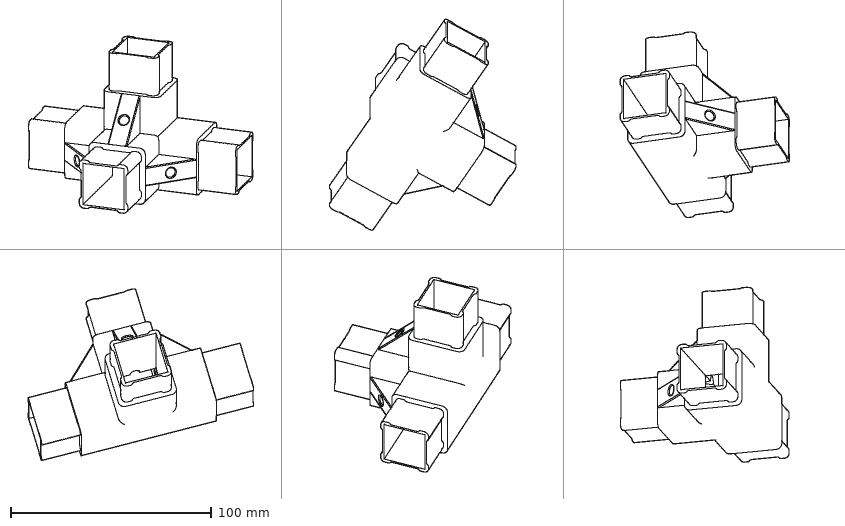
import cadquery as cq
import math

arm_width = 30.0
arm_length = 20.0
arm_corner_radius = 3.0
stub_length = 20.0
stub_width = 25.8
stub_corner_radius = 2.5
bore_width = 22.0
groove_depth = 1.0
groove_floor_width = 13.5
groove_flank_run = 2.0
gusset_width = 10.0
gusset_chamfer = 0.5
hole_diameter = 5.0
hole_chamfer = 0.5

half_arm = arm_width / 2
half_stub = stub_width / 2
half_bore = bore_width / 2
arm_end = half_arm + arm_length
stub_end = arm_end + stub_length

X, Y, Z = cq.Vector(1, 0, 0), cq.Vector(0, 1, 0), cq.Vector(0, 0, 1)
arm_directions = [X, -X, -Y, Z]
gusset_pairs = [(X, -Y), (-X, -Y), (Z, -Y)]


def arm_plane(direction):
    """Plane through the centre of the part, facing along an arm."""
    sideways = Y if abs(direction.x) > 0 else X
    return cq.Plane(origin=(0, 0, 0), xDir=sideways, normal=direction)


def square_prism(direction, width, length):
    """Square bar from the centre of the part out along an arm."""
    return cq.Workplane(arm_plane(direction)).rect(width, width).extrude(length)


def rounded_prism(direction, width, length, corner_radius):
    """Square bar with its four long edges rounded."""
    long_edges = cq.selectors.ParallelDirSelector(direction)
    return square_prism(direction, width, length).edges(long_edges).fillet(corner_radius)


def arm(direction):
    return rounded_prism(direction, arm_width, arm_end, arm_corner_radius)


def stub(direction):
    """Rounded square plug with a shallow S-flanked groove along every face."""
    body = rounded_prism(direction, stub_width, stub_end, stub_corner_radius)

    floor_half = groove_floor_width / 2
    mouth_half = floor_half + groove_flank_run
    flank_middle = floor_half + groove_flank_run / 2
    floor_level = half_stub - groove_depth
    flank_radius = (groove_depth**2 + groove_flank_run**2) / (4 * groove_depth)
    middle_level = half_stub - groove_depth / 2
    for side in range(4):
        plane = arm_plane(direction).rotated((0, 0, 90 * side))
        groove = (
            cq.Workplane(plane)
            .moveTo(-mouth_half, half_stub)
            .radiusArc((-flank_middle, middle_level), flank_radius)
            .radiusArc((-floor_half, floor_level), -flank_radius)
            .lineTo(floor_half, floor_level)
            .radiusArc((flank_middle, middle_level), -flank_radius)
            .radiusArc((mouth_half, half_stub), flank_radius)
            .close()
            .extrude(stub_end)
        )
        body = body.cut(groove)
    return body


def gusset(first, second):
    """Triangular web between two perpendicular arms, long edges chamfered."""
    plane = cq.Plane(origin=(0, 0, 0), xDir=first, normal=first.cross(second))
    web = (
        cq.Workplane(plane)
        .moveTo(half_arm, half_arm)
        .lineTo(arm_end, half_arm)
        .lineTo(half_arm, arm_end)
        .close()
        .extrude(gusset_width / 2, both=True)
    )
    slope_edges = cq.selectors.ParallelDirSelector(first - second)
    return web.edges(slope_edges).chamfer(gusset_chamfer)


def gusset_hole(first, second):
    """Hole square to the sloped gusset face, opening fully into the corner of the bores."""
    outward = (first + second) * (1 / math.sqrt(2))
    middle = (first + second) * ((half_arm + arm_end) / 2)
    depth_to_bore_corner = (middle - (first + second) * half_bore).Length
    depth = depth_to_bore_corner + hole_diameter / 2
    plane = cq.Plane(origin=middle, xDir=first - second, normal=-outward)
    drill = cq.Workplane(plane).circle(hole_diameter / 2).extrude(depth)
    rim = cq.Solid.makeCone(
        hole_diameter / 2 + hole_chamfer, hole_diameter / 2, hole_chamfer, middle, -outward
    )
    return drill.union(cq.Workplane(rim))


def bore(direction):
    """Square channel from the centre of the part out through one stub."""
    return square_prism(direction, bore_width, stub_end)


connector = cq.Workplane()
for direction in arm_directions:
    connector = connector.union(arm(direction)).union(stub(direction))
for first, second in gusset_pairs:
    connector = connector.union(gusset(first, second))
for direction in arm_directions:
    connector = connector.cut(bore(direction))
for first, second in gusset_pairs:
    connector = connector.cut(gusset_hole(first, second))

result = connector.solids()